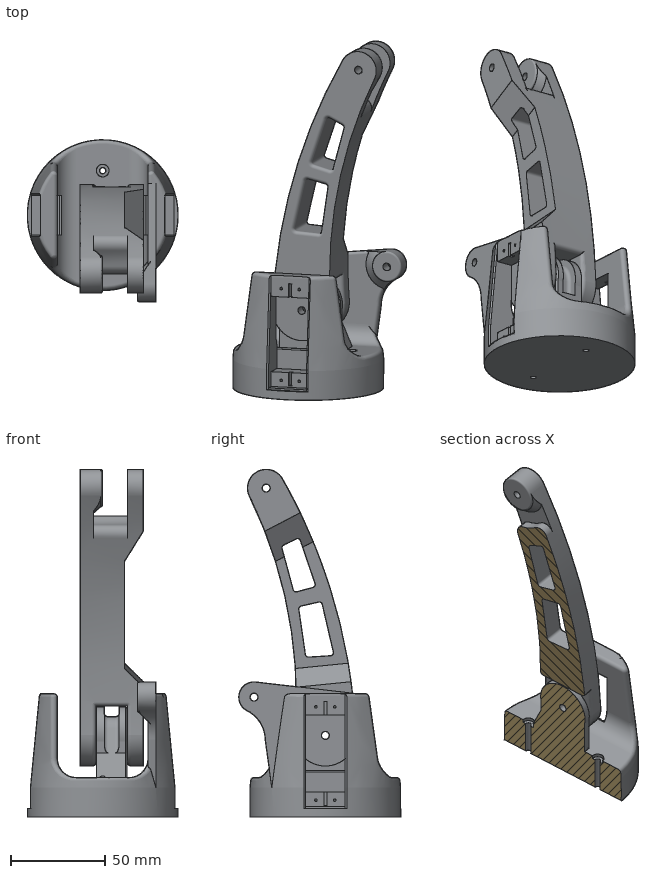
import cadquery as cq
import math


pivot_z = 43.3
pivot_bore = 4.0
fork_mid_x = 4.8
pad_edge_round = 1.0
far = 110.5

base_r = 40.0
base_band_z = 15.7
base_top_z = 65.5
base_top_r = 35.4

channel_half = 24.0
channel_floor_z = 21.0
channel_corner_r = 10.0
opening_round = 2.0
ear_round = 1.5

screw_y = 23.5
screw_bore = 3.1
screw_head_d = 6.6
screw_head_depth = 1.8

recess_half = 10.5
recess_floor_x = 33.0
recess_bottom_z = 5.5
recess_lip_round = 1.0
mouth_bevel_width = 1.3
mouth_bevel_depth = 1.0
window_bottom_z = 13.5
window_top_z = 54.0
window_back_x = 22.9
sill_low_z = 24.0
sill_high_z = 25.0
sill_inner_x = 21.2
pilot_bore = 1.3
pilot_y = 5.0
pilot_depth = 4.8
pilot_offset = 4.5
relief_width = 1.7
relief_height = 7.2
relief_depth = 2.5

ear_y = -37.8
ear_z = 63.5
ear_r = 8.1
ear_boss_x = 18.5
ear_outer_x = 28.2
ear_back_y = 16.8
ear_flare_r = 14.7
ear_throat_y = -31.9
ear_throat_z = 41.0
ear_foot_y = -28.4

post_half = 8.1
post_foot_y = 20.6
hub_r = 10.0
cheek_r = 15.3
cheek_drop_y = 15.0
groove_half = 3.96
groove_corner_r = 2.0
post_bevel = 1.0

arm_left_x = -12.0
arm_right_x = 21.5
arm_narrow_x = 11.6
arm_foot_r = 16.2
arm_tip_y = -31.3
arm_tip_z = 174.4
arm_tip_r = 10.0
back_mid = (2.8, 120.7)
front_mid = (-20.0, 110.5)
tip_back_angle = 28.0
tip_front_angle = 204.0

foot_slot_half = 8.3
foot_slot_top_z = 58.8
foot_slot_round = 2.0

tip_slot_left_x = -4.8
tip_slot_right_x = 13.0
saddle_r = 20.0
saddle_round = 5.2
tip_pad_x = -0.2
tip_flare_r = 13.3

notch_low_z = 80.4
notch_low_lean = 0.1
notch_low_slope = 1.0
notch_high_z = 149.3
notch_high_lean = 0.52
notch_high_slope = 1.9

lower_window = [(-2.0, 114.3), (-14.2, 111.5), (-10.3, 84.8), (4.6, 85.7)]
upper_window = [(-13.8, 148.2), (-23.2, 143.5), (-16.5, 119.0), (-5.0, 122.2)]
window_corner_r = 1.5
window_edge_round = 1.8


def polar(y, z, radius, angle):
    """Point on a circle in the YZ plane, angle in degrees from +Y towards +Z."""
    turn = math.radians(angle)
    return (y + radius * math.cos(turn), z + radius * math.sin(turn))


def side_plane(x):
    """Sketch plane whose local axes are Y and Z, extruding towards +X."""
    return cq.Workplane("YZ", origin=(x, 0, 0))


def disc(x0, x1, y, z, radius):
    return side_plane(x0).center(y, z).circle(radius).extrude(x1 - x0)


def box(x0, x1, y0, y1, z0, z1):
    return cq.Workplane("XY").box(x1 - x0, y1 - y0, z1 - z0, centered=False).translate((x0, y0, z0))


def pad(face_x, wall_x, y, z, radius, flare_r):
    """Round pad on an X axis: rounded face, short straight rim and a flare out to the wall."""
    inward = math.copysign(1, wall_x - face_x)
    round_mid = pad_edge_round * (1 - math.sqrt(0.5))
    return (
        cq.Workplane("XY", origin=(face_x, y, z))
        .lineTo(0, radius - pad_edge_round)
        .threePointArc((inward * round_mid, radius - round_mid), (inward * pad_edge_round, radius))
        .lineTo(wall_x - face_x, flare_r)
        .lineTo(wall_x - face_x, 0)
        .close()
        .revolve(360, (0, 0, 0), (1, 0, 0))
    )


def base_shell():
    """Band and cone, split by the channel, with every edge of the opening rounded."""
    shell = (
        cq.Workplane("XZ")
        .polyline([(0, 0), (base_r, 0), (base_r, base_band_z), (base_top_r, base_top_z), (0, base_top_z)])
        .close()
        .revolve(360, (0, 0, 0), (0, 1, 0))
    )
    channel = box(-channel_half, channel_half, -far, far, channel_floor_z, far)
    channel = channel.edges("|Y and <Z").fillet(channel_corner_r)
    opening = cq.selectors.BoxSelector((-base_r, -base_r, base_band_z + 1.8), (base_r, base_r, base_top_z + 1.8))
    return shell.cut(channel).edges(opening).fillet(opening_round)


def ear():
    """Plate that grows out of the right wall and carries a round boss at its tip."""
    run = math.hypot(ear_back_y - ear_y, base_top_z - ear_z)
    lean = math.degrees(math.atan2(base_top_z - ear_z, ear_back_y - ear_y))
    top_touch = polar(ear_y, ear_z, ear_r, lean + math.degrees(math.acos(ear_r / run)))

    across = ear_throat_y - ear_y
    drop = ear_z - ear_throat_z
    throat_r = (across ** 2 + drop ** 2 - ear_r ** 2) / (2 * (across + ear_r))
    throat_y = ear_throat_y - throat_r
    throat_angle = math.degrees(math.atan2(drop, ear_y - throat_y))
    throat_mid = polar(throat_y, ear_throat_z, throat_r, throat_angle / 2)
    throat_end = polar(throat_y, ear_throat_z, throat_r, throat_angle)

    outline = (
        side_plane(ear_boss_x)
        .moveTo(ear_back_y, base_top_z)
        .lineTo(*top_touch)
        .threePointArc((ear_y - ear_r, ear_z), throat_end)
        .threePointArc(throat_mid, (ear_throat_y, ear_throat_z))
        .lineTo(ear_foot_y, base_band_z)
        .lineTo(ear_back_y, base_band_z)
        .close()
        .extrude(ear_outer_x - ear_boss_x)
    )
    plate = outline.intersect(box(channel_half, ear_outer_x, -far, far, 0, far))
    inner_edges = plate.faces("<X").edges("not(<Z or >Y)")
    plate = inner_edges.fillet(ear_round)
    boss = pad(ear_boss_x, channel_half + ear_round, ear_y, ear_z, ear_r, ear_flare_r)
    return plate.union(boss.intersect(outline))


def post():
    """Upright with a rope groove round its hub and a round cheek on each side."""
    half_angle = math.degrees(math.asin(hub_r / math.hypot(post_foot_y, pivot_z - channel_floor_z)))
    slope_angle = half_angle + math.degrees(math.atan2(pivot_z - channel_floor_z, post_foot_y))
    front_touch = polar(0, pivot_z, hub_r, 90 + slope_angle)
    core = (
        side_plane(fork_mid_x - post_half)
        .moveTo(-post_foot_y, channel_floor_z)
        .lineTo(*front_touch)
        .threePointArc((0, pivot_z + hub_r), (hub_r, pivot_z))
        .lineTo(hub_r, channel_floor_z)
        .close()
        .extrude(2 * post_half)
    )

    slope = math.tan(math.radians(slope_angle))
    drop_z = channel_floor_z + (post_foot_y - cheek_drop_y) * slope
    drop_top_z = pivot_z - math.sqrt(cheek_r ** 2 - cheek_drop_y ** 2)
    cheeks = (
        side_plane(fork_mid_x - post_half)
        .moveTo(-cheek_drop_y, drop_z)
        .lineTo(-cheek_drop_y, drop_top_z)
        .threePointArc((0, pivot_z + cheek_r), (cheek_drop_y, drop_top_z))
        .lineTo(cheek_drop_y, channel_floor_z)
        .lineTo(0, channel_floor_z)
        .close()
        .extrude(2 * post_half)
    )
    groove = box(
        fork_mid_x - groove_half, fork_mid_x + groove_half, -far, far, drop_z, far,
    ).cut(core)
    hub_skin = cq.selectors.BoxSelector(
        (fork_mid_x - post_half, -post_foot_y, drop_z + post_bevel),
        (fork_mid_x + post_half, post_foot_y, pivot_z + cheek_r),
    )
    groove = groove.edges(hub_skin).fillet(groove_corner_r)

    right_edges = core.union(cheeks).faces(">X").edges("not(<Z)")
    upright = right_edges.chamfer(post_bevel).cut(groove)
    return upright.cut(disc(-far, far, 0, pivot_z, pivot_bore / 2))


def recess_mouth():
    """Cutter that bevels the two upright edges of the right recess, following band and cone."""
    slant = mouth_bevel_depth / mouth_bevel_width
    spread = 3 * mouth_bevel_width
    sections = []
    for z, radius in ((0, base_r), (base_band_z, base_r), (base_top_z, base_top_r)):
        root_x = math.sqrt(radius ** 2 - recess_half ** 2) - mouth_bevel_depth
        tip_x = root_x + spread * slant
        sections.append(cq.Wire.makePolygon([
            cq.Vector(root_x, -recess_half, z),
            cq.Vector(tip_x, -recess_half - spread, z),
            cq.Vector(tip_x, recess_half + spread, z),
            cq.Vector(root_x, recess_half, z),
        ], close=True))
    mouth = cq.Workplane("XY").newObject([cq.Solid.makeLoft(sections, True)])
    return mouth.intersect(box(0, far, -far, far, recess_bottom_z - recess_lip_round, far))


def cut_recess(base, side):
    """Shallow recess in the outside of one wall, open at the top, with eased edges."""
    recess = box(recess_floor_x, far, -recess_half, recess_half, recess_bottom_z, far)
    mouth = recess_mouth()
    if side < 0:
        recess = recess.mirror("YZ")
        mouth = mouth.mirror("YZ")
    bounds = sorted((side * (recess_floor_x + 0.2), side * far))
    lip = cq.selectors.BoxSelector(
        (bounds[0], -recess_half + 0.2, recess_bottom_z - 0.2),
        (bounds[1], recess_half - 0.2, recess_bottom_z + 0.2),
    )
    return base.cut(recess).edges(lip).fillet(recess_lip_round).cut(mouth)


def servo_window(side):
    """Cutter for one wall: deep window, pilot holes and relief slits in its mounting blocks."""
    cutter = (
        cq.Workplane("XZ", origin=(0, recess_half, 0))
        .polyline([
            (far, window_bottom_z),
            (window_back_x, window_bottom_z),
            (window_back_x, sill_low_z),
            (sill_inner_x, sill_high_z),
            (sill_inner_x, window_top_z),
            (far, window_top_z),
        ])
        .close()
        .extrude(2 * recess_half)
    )
    for edge_z, away in ((window_bottom_z, -1), (window_top_z, 1)):
        for y in (-pilot_y, pilot_y):
            pilot_z = edge_z + away * pilot_offset
            cutter = cutter.union(disc(recess_floor_x - pilot_depth, far, y, pilot_z, pilot_bore / 2))
        low_z, high_z = sorted((edge_z, edge_z + away * relief_height))
        slit = box(recess_floor_x - relief_depth, far, -relief_width / 2, relief_width / 2, low_z, high_z)
        cutter = cutter.union(slit)
    return cutter if side > 0 else cutter.mirror("YZ")


def screw_hole(y):
    bore = cq.Workplane("XY").center(0, y).circle(screw_bore / 2).extrude(channel_floor_z)
    head = (
        cq.Workplane("XY", origin=(0, y, channel_floor_z - screw_head_depth))
        .circle(screw_head_d / 2)
        .extrude(2 * screw_head_depth)
    )
    return bore.union(head)


def make_base():
    base = base_shell().union(ear()).union(post())
    for side in (-1, 1):
        base = cut_recess(base, side).cut(servo_window(side))
    for y in (-screw_y, screw_y):
        base = base.cut(screw_hole(y))
    return base.cut(disc(0, far, ear_y, ear_z, pivot_bore / 2))


def bowed_strip(x0, x1):
    """Full side outline of the arm, extruded between two X positions."""
    tip_front = polar(arm_tip_y, arm_tip_z, arm_tip_r, tip_front_angle)
    tip_crown = polar(arm_tip_y, arm_tip_z, arm_tip_r, (tip_back_angle + tip_front_angle) / 2)
    tip_back = polar(arm_tip_y, arm_tip_z, arm_tip_r, tip_back_angle)
    return (
        side_plane(x0)
        .moveTo(-arm_foot_r, pivot_z)
        .threePointArc(front_mid, tip_front)
        .threePointArc(tip_crown, tip_back)
        .threePointArc(back_mid, (arm_foot_r, pivot_z))
        .threePointArc((0, pivot_z - arm_foot_r), (-arm_foot_r, pivot_z))
        .close()
        .extrude(x1 - x0)
    )


def saddle_strip():
    """Middle of the arm, ending in the concave floor of the tip slot."""
    reach = disc(tip_slot_left_x, tip_slot_right_x, arm_tip_y, arm_tip_z, saddle_r)
    strip = bowed_strip(tip_slot_left_x, tip_slot_right_x).cut(reach)
    rims = cq.selectors.BoxSelector(
        (tip_slot_left_x, -far, arm_tip_z - 2 * saddle_r), (tip_slot_right_x, far, arm_tip_z))
    return strip.edges(rims).edges("|X").fillet(saddle_round)


def foot_slot():
    return box(
        fork_mid_x - foot_slot_half, fork_mid_x + foot_slot_half, -far, far, 0, foot_slot_top_z)


def on_outer_skin(edge):
    """True for the foot slot's edges on the outside of the arm, not its two inner corners."""
    middle = edge.Center()
    near = 0.2
    on_slot = abs(middle.x - fork_mid_x) < foot_slot_half + near and middle.z < foot_slot_top_z + near
    inner_corner = abs(middle.y) < 1.8 and middle.z > pivot_z
    return on_slot and not inner_corner


def side_notch():
    """Cutter that slims the arm on its right side between the lower and upper forks."""
    reach = arm_right_x + 1.8 - arm_narrow_x
    notch = cq.Workplane("XZ", origin=(0, far / 2, 0))
    for y in (far / 2, -far / 2):
        low_z = notch_low_z + notch_low_lean * y
        high_z = notch_high_z + notch_high_lean * y
        notch = notch.polyline([
            (arm_narrow_x, low_z),
            (arm_narrow_x + reach, low_z - notch_low_slope * reach),
            (arm_narrow_x + reach, high_z + notch_high_slope * reach),
            (arm_narrow_x, high_z),
        ]).close()
        if y > 0:
            notch = notch.workplane(offset=far)
    return notch.loft(ruled=True)


def side_window(corners):
    return side_plane(-far).polyline(corners).close().extrude(2 * far).edges("|X").fillet(window_corner_r)


def make_arm():
    arm = bowed_strip(arm_left_x, tip_slot_left_x)
    arm = arm.union(saddle_strip())
    arm = arm.union(bowed_strip(tip_slot_right_x, arm_right_x))
    arm = arm.cut(foot_slot())
    arm = arm.edges().filter(on_outer_skin).fillet(foot_slot_round)
    arm = arm.cut(side_notch())

    boss = pad(tip_pad_x, tip_slot_left_x, arm_tip_y, arm_tip_z, arm_tip_r, tip_flare_r)
    arm = arm.union(boss.intersect(bowed_strip(tip_slot_left_x, tip_pad_x)))

    for corners in (lower_window, upper_window):
        arm = arm.cut(side_window(corners))
    rims = [edge for wire in arm.faces("<X").val().innerWires() for edge in wire.Edges()]
    arm = arm.newObject(rims).fillet(window_edge_round)
    for y, z in ((0, pivot_z), (arm_tip_y, arm_tip_z)):
        arm = arm.cut(disc(-far, far, y, z, pivot_bore / 2))
    return arm


base = make_base()
arm = make_arm()
result = cq.Compound.makeCompound([base.solids().val(), arm.solids().val()])